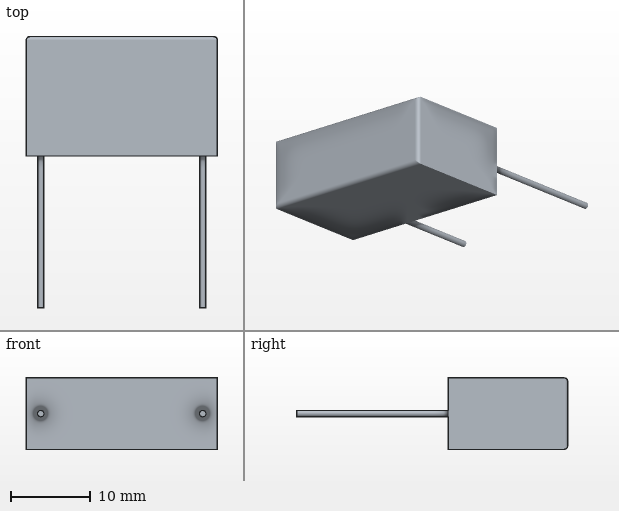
import cadquery as cq


case_width = 24.0
case_depth = 15.0
case_height = 9.0
back_fillet = 0.5

lead_diameter = 0.8
lead_length = 19.0
lead_pitch = 20.3


def make_case():
    """Rectangular case with the four edges of its back face rounded."""
    block = cq.Workplane("XY").box(
        case_width, case_depth, case_height, centered=(True, False, True)
    )
    return block.faces(">Y").edges().fillet(back_fillet)


def make_lead(x):
    """Straight round lead that starts on the front face of the case."""
    return cq.Workplane("XZ").center(x, 0).circle(lead_diameter / 2).extrude(lead_length)


case = make_case()
leads = [make_lead(side * lead_pitch / 2) for side in (-1, 1)]

result = cq.Compound.makeCompound([case.val(), *[lead.val() for lead in leads]])